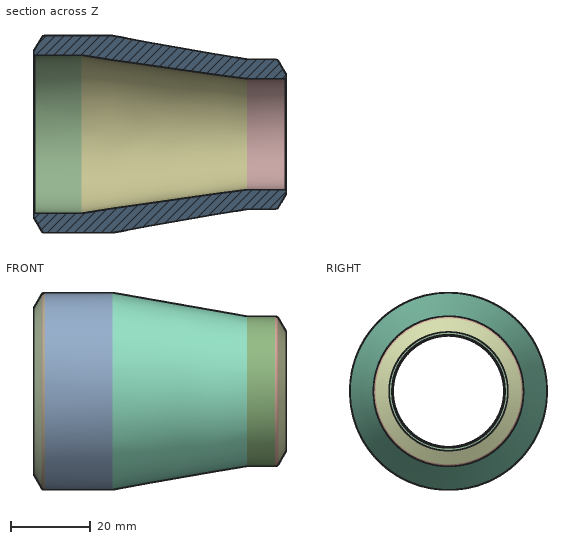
import cadquery as cq
import math

length = 64.0
large_diameter = 50.0
small_diameter = 38.0
large_bore = 40.0
small_bore = 28.0

taper_start = 20.0
bore_taper_start = 12.15
taper_end = 54.0

root_face = 1.0
bevel_angle = 30.0
bevel_round = 1.0
mouth_chamfer = 0.3

pick_margin = 0.05
full_turn = 360

large_radius = large_diameter / 2
small_radius = small_diameter / 2
large_bore_radius = large_bore / 2
small_bore_radius = small_bore / 2


def bevel_depth(outer_radius, bore_radius):
    """Axial depth of a weld bevel running from the root face to the outside."""
    bevel_height = outer_radius - bore_radius - root_face
    return bevel_height * math.tan(math.radians(bevel_angle))


def make_outer_body():
    large_bevel = bevel_depth(large_radius, large_bore_radius)
    small_bevel = bevel_depth(small_radius, small_bore_radius)
    profile = (
        cq.Workplane("XZ")
        .moveTo(0, 0)
        .lineTo(0, large_bore_radius + root_face)
        .lineTo(large_bevel, large_radius)
        .lineTo(taper_start, large_radius)
        .lineTo(taper_end, small_radius)
        .lineTo(length - small_bevel, small_radius)
        .lineTo(length, small_bore_radius + root_face)
        .lineTo(length, 0)
        .close()
    )
    body = profile.revolve(full_turn, (0, 0, 0), (1, 0, 0))
    for corner_x in (large_bevel, length - small_bevel):
        corner = cq.selectors.BoxSelector(
            (corner_x - pick_margin, -large_diameter, -large_diameter),
            (corner_x + pick_margin, large_diameter, large_diameter),
            boundingbox=True,
        )
        body = body.edges(corner).fillet(bevel_round)
    return body


def make_bore():
    profile = (
        cq.Workplane("XZ")
        .moveTo(0, 0)
        .lineTo(0, large_bore_radius + mouth_chamfer)
        .lineTo(mouth_chamfer, large_bore_radius)
        .lineTo(bore_taper_start, large_bore_radius)
        .lineTo(taper_end, small_bore_radius)
        .lineTo(length - mouth_chamfer, small_bore_radius)
        .lineTo(length, small_bore_radius + mouth_chamfer)
        .lineTo(length, 0)
        .close()
    )
    return profile.revolve(full_turn, (0, 0, 0), (1, 0, 0))


result = make_outer_body().cut(make_bore())